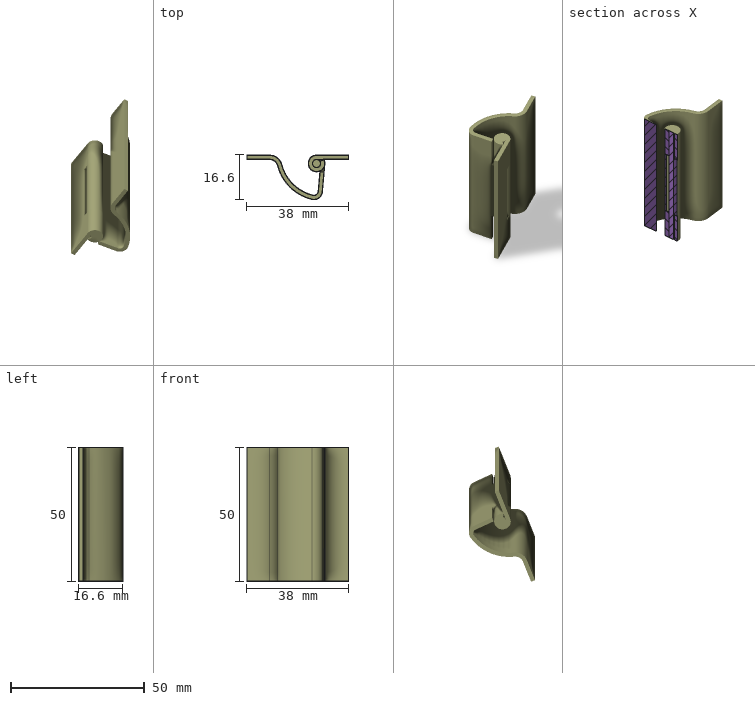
import cadquery as cq
import math


height = 50.0
sheet = 1.6
pin_radius = 1.5
middle_length = 26.0
flat_reach = 12.0
bulged_reach = 26.0
flange_width = 8.45
flange_bend_radius = 3.1
bulge_radius = 17.5
toe_radius = 3.2
leg_tilt = 5.0
bulge_depth = 16.6
curl_gap = 0.02

knuckle_radius = pin_radius + sheet
end_length = (height - middle_length) / 2
back = knuckle_radius
front = back - sheet
knuckle_exit = math.sqrt(knuckle_radius**2 - pin_radius**2)
curl_tip_angle = math.degrees(math.asin((pin_radius - curl_gap) / knuckle_radius))


def polar(center, radius, degrees):
    angle = math.radians(degrees)
    return (center[0] + radius * math.cos(angle), center[1] + radius * math.sin(angle))


def direction(start, end):
    return math.degrees(math.atan2(end[1] - start[1], end[0] - start[0]))


def block(x_min, x_max, y_min, y_max, z_min, length):
    return (
        cq.Workplane("XY", origin=(0, 0, z_min))
        .rect(x_max - x_min, y_max - y_min)
        .extrude(length)
        .translate(((x_min + x_max) / 2, (y_min + y_max) / 2, 0))
    )


def curl(z_min, length):
    """Knuckle curled counterclockwise from +Y, ending just short of a sheet that leaves along +X."""
    origin = (0, 0)
    sweep_middle = (90 + 360 + curl_tip_angle) / 2
    tip = 360 + curl_tip_angle
    return (
        cq.Workplane("XY", origin=(0, 0, z_min))
        .moveTo(0, knuckle_radius)
        .threePointArc(polar(origin, knuckle_radius, sweep_middle), polar(origin, knuckle_radius, tip))
        .lineTo(*polar(origin, pin_radius, tip))
        .threePointArc(polar(origin, pin_radius, sweep_middle), (0, pin_radius))
        .close()
        .extrude(length)
    )


def make_pin():
    return cq.Workplane("XY").circle(pin_radius).extrude(height)


def make_flat_leaf():
    """Flat sheet notched for the middle knuckle, with a curl at each end."""
    leaf = block(knuckle_exit, flat_reach, front, back, 0, height)
    for z_min in (0, height - end_length):
        leaf = leaf.union(block(0, knuckle_exit, front, back, z_min, end_length))
        leaf = leaf.union(curl(z_min, end_length))
    return leaf


def make_bulged_sheet():
    """Flange, bend, long bulge, toe bend and leg, the leg reaching up beside the pin axis."""
    flange_end = flange_width - bulged_reach
    flange_center = (flange_end, front - flange_bend_radius)
    toe_y = back - bulge_depth + toe_radius
    tilt = math.radians(leg_tilt)
    toe_x = (knuckle_radius - toe_radius + toe_y * math.sin(tilt)) / math.cos(tilt)
    toe_center = (toe_x, toe_y)

    to_flange = bulge_radius + flange_bend_radius
    to_toe = bulge_radius - toe_radius
    span = math.dist(flange_center, toe_center)
    cos_at_toe = (to_toe**2 + span**2 - to_flange**2) / (2 * to_toe * span)
    at_toe = math.degrees(math.acos(cos_at_toe))
    bulge_center = polar(toe_center, to_toe, direction(toe_center, flange_center) - at_toe)

    bend_end = direction(flange_center, bulge_center)
    bulge_start = bend_end + 180
    bulge_end = direction(bulge_center, toe_center) + 360
    toe_end = 360 - leg_tilt
    bend_middle = (90 + bend_end) / 2
    bulge_middle = (bulge_start + bulge_end) / 2
    toe_middle = (bulge_end + toe_end) / 2

    bend_outer = flange_bend_radius + sheet
    bulge_inner = bulge_radius - sheet
    toe_inner = toe_radius - sheet
    leg_top_outer = polar((0, 0), knuckle_radius, -leg_tilt)
    leg_top_inner = polar((0, 0), pin_radius, -leg_tilt)

    return (
        cq.Workplane("XY")
        .moveTo(-bulged_reach, front)
        .lineTo(flange_end, front)
        .threePointArc(
            polar(flange_center, flange_bend_radius, bend_middle),
            polar(flange_center, flange_bend_radius, bend_end),
        )
        .threePointArc(
            polar(bulge_center, bulge_radius, bulge_middle),
            polar(bulge_center, bulge_radius, bulge_end),
        )
        .threePointArc(
            polar(toe_center, toe_radius, toe_middle),
            polar(toe_center, toe_radius, toe_end),
        )
        .lineTo(*leg_top_outer)
        .lineTo(*leg_top_inner)
        .lineTo(*polar(toe_center, toe_inner, toe_end))
        .threePointArc(
            polar(toe_center, toe_inner, toe_middle),
            polar(toe_center, toe_inner, bulge_end),
        )
        .threePointArc(
            polar(bulge_center, bulge_inner, bulge_middle),
            polar(bulge_center, bulge_inner, bulge_start),
        )
        .threePointArc(
            polar(flange_center, bend_outer, bend_middle),
            polar(flange_center, bend_outer, 90),
        )
        .lineTo(-bulged_reach, back)
        .close()
        .extrude(height)
    )


def make_bulged_leaf():
    """Bulged sheet with its leg cut back beside the end knuckles, and a curl in the middle."""
    leaf = make_bulged_sheet()
    for z_min in (0, height - end_length):
        clearance = block(
            -knuckle_radius, knuckle_radius, -knuckle_radius, knuckle_radius, z_min, end_length
        )
        leaf = leaf.cut(clearance)
    leg_curl = curl(end_length, middle_length).rotate((0, 0, 0), (0, 0, 1), -90 - leg_tilt)
    return leaf.union(leg_curl)


pin = make_pin()
flat_leaf = make_flat_leaf()
bulged_leaf = make_bulged_leaf()

bodies = (pin, flat_leaf, bulged_leaf)
result = cq.Compound.makeCompound([body.solids().val() for body in bodies])